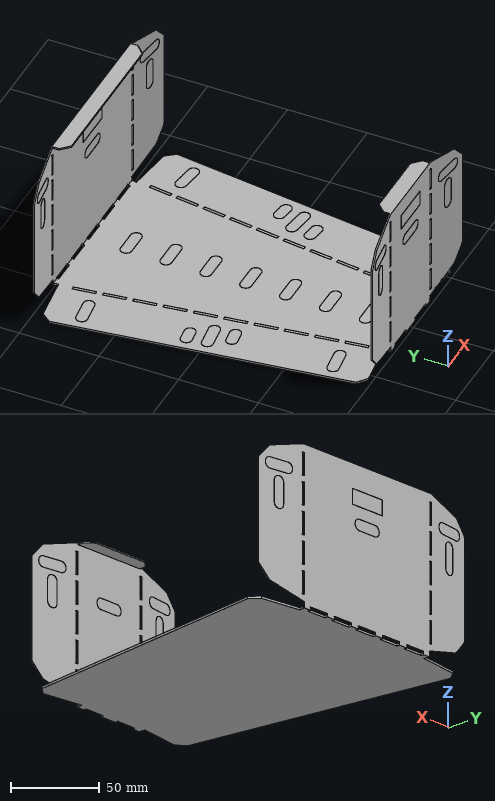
import cadquery as cq
import math

WALL_THICKNESS = 1.0
FLOOR_THICKNESS = 1.5
HEIGHT = 99.7
LENGTH = 200.3
TAPER = 7.5
MID_HALF_WIDTH = 40.0
NECK_INSET = 0.8
END_Y = LENGTH / 2

FLAP_WIDTH = 33.2
FLAP_CHAMFER = 5.5
FLAP_HALF_LENGTH = 96.9
WING_BOTTOM = 3.7
WING_TAPER_START = 25.0
WING_TAPER_RISE = 7.0
WING_CORNER_RISE = 16.0

FLANGE_DEPTH = 10.0
FLANGE_CHAMFER = 5.3

RECESS_DEPTH = 0.1
SLOT_LENGTH = 20.0
SHORT_SLOT_LENGTH = 14.0
SLOT_WIDTH = 7.0
SLOT_FROM_BEND = 18.0
FLOOR_SLOT_COUNT = 7
FLOOR_SLOT_PITCH = 25.0
FLAP_END_SLOT = 74.8
FLAP_SHORT_SLOT = 12.5
SHORT_SLOT_SHIFT = 3.3
WING_SLOT_Z = 82.1
WING_UPRIGHT_SLOT_Z = 65.7

PAD_WIDTH = 24.8
PAD_HEIGHT = 9.6
FRONT_PAD_Z = 84.0
BACK_PAD_Z = 79.3
WALL_SLOT_BELOW_PAD = 15.8
PAD_RAISE = 0.2

SLIT_LENGTH = 14.0
WALL_SLIT_WIDTH = 1.5
FLOOR_SLIT_WIDTH = 1.8
SLIT_PITCH = 18.0
FLOOR_SLIT_COUNT = 10
WING_SLIT_COUNT = 5
WING_SLIT_MID_Z = 51.5
FOOT_SLIT_SIZE = 2.0
FRONT_FOOT_SLIT_COUNT = 2
FRONT_FOOT_SLIT_PITCH = 26.5
BACK_FOOT_SLIT_COUNT = 5
BACK_FOOT_SLIT_PITCH = 20.0

SIN = math.sin(math.radians(TAPER))
COS = math.cos(math.radians(TAPER))
TAN_HALF = math.tan(math.radians(TAPER / 2))


def spread(count, pitch):
    """Evenly spaced positions centred on zero."""
    return [(i - (count - 1) / 2) * pitch for i in range(count)]


def bend_half_width(y):
    """Distance from the centreline to a side bend line at a given Y."""
    return MID_HALF_WIDTH + y * math.tan(math.radians(TAPER))


def flap_point(out, along):
    """Point on the right flap: distance out from the bend line and along it."""
    return (MID_HALF_WIDTH + out * COS + along * SIN, along * COS - out * SIN)


def mirrored(points):
    """Close a right-hand half outline with its mirror image about X = 0."""
    return points + [(-x, y) for x, y in reversed(points)]


def make_floor():
    """Flat floor with its two side flaps."""
    half = [
        (bend_half_width(-END_Y) - NECK_INSET, -END_Y),
        flap_point(-NECK_INSET, -FLAP_HALF_LENGTH),
        flap_point(FLAP_WIDTH - FLAP_CHAMFER, -FLAP_HALF_LENGTH),
        flap_point(FLAP_WIDTH, -FLAP_HALF_LENGTH + FLAP_CHAMFER),
        flap_point(FLAP_WIDTH, FLAP_HALF_LENGTH - FLAP_CHAMFER),
        flap_point(FLAP_WIDTH - FLAP_CHAMFER, FLAP_HALF_LENGTH),
        flap_point(-NECK_INSET, FLAP_HALF_LENGTH),
        (bend_half_width(END_Y) - NECK_INSET, END_Y),
    ]
    return cq.Workplane("XY").polyline(mirrored(half)).close().extrude(FLOOR_THICKNESS)


def floor_recesses():
    """Slots and bend-line slits cut into the top of the floor."""
    top = cq.Workplane("XY", origin=(0, 0, FLOOR_THICKNESS))
    slot_places = [(0, y) for y in spread(FLOOR_SLOT_COUNT, FLOOR_SLOT_PITCH)]
    middle = top.pushPoints(slot_places).slot2D(SLOT_LENGTH, SLOT_WIDTH).extrude(-RECESS_DEPTH)

    flap_slots = [
        (SLOT_FROM_BEND, -FLAP_END_SLOT, SLOT_LENGTH),
        (SLOT_FROM_BEND - SHORT_SLOT_SHIFT, -FLAP_SHORT_SLOT, SHORT_SLOT_LENGTH),
        (SLOT_FROM_BEND, 0, SLOT_LENGTH),
        (SLOT_FROM_BEND + SHORT_SLOT_SHIFT, FLAP_SHORT_SLOT, SHORT_SLOT_LENGTH),
        (SLOT_FROM_BEND, FLAP_END_SLOT, SLOT_LENGTH),
    ]
    right = cq.Workplane("XY")
    for out, along, length in flap_slots:
        place = top.pushPoints([flap_point(out, along)])
        right = right.add(place.slot2D(length, SLOT_WIDTH, -TAPER).extrude(-RECESS_DEPTH))
    for along in spread(FLOOR_SLIT_COUNT, SLIT_PITCH):
        slit = top.rect(FLOOR_SLIT_WIDTH, SLIT_LENGTH).extrude(-RECESS_DEPTH)
        slit = slit.rotate((0, 0, 0), (0, 0, 1), -TAPER)
        right = right.add(slit.translate((*flap_point(0, along), 0)))
    right = cq.Workplane(obj=right.combine().val())
    return middle.union(right).union(right.mirror("YZ"))


def wall_sheet(outer_y, inward):
    """End wall with a wing on each side; wings lean toward -Y."""
    bend = bend_half_width(outer_y)
    tip = bend + FLAP_WIDTH * COS
    tip_y = outer_y - FLAP_WIDTH * SIN
    offset = inward * WALL_THICKNESS
    inner_half = [
        (tip + offset * SIN, tip_y + offset * COS),
        (bend + offset * TAN_HALF, outer_y + offset),
    ]
    plan_points = [
        (-tip, tip_y),
        (-bend, outer_y),
        (bend, outer_y),
        (tip, tip_y),
    ] + mirrored(inner_half)
    plan = cq.Workplane("XY").polyline(plan_points).close().extrude(HEIGHT)

    taper_x = bend + WING_TAPER_START * COS
    edge_x = tip + WALL_THICKNESS
    neck = bend - NECK_INSET
    half = [
        (neck, 0),
        (neck, WING_BOTTOM),
        (taper_x, WING_BOTTOM + WING_TAPER_RISE),
        (tip, WING_BOTTOM + WING_CORNER_RISE),
        (edge_x, WING_BOTTOM + WING_CORNER_RISE),
        (edge_x, HEIGHT - WING_CORNER_RISE),
        (tip, HEIGHT - WING_CORNER_RISE),
        (taper_x, HEIGHT - WING_TAPER_RISE),
        (bend, HEIGHT),
    ]
    outline = cq.Workplane("XZ").polyline(mirrored(half)).close().extrude(LENGTH, both=True)
    return plan.intersect(outline)


def wall_flange(outer_y, inward):
    """Return flange along the top of a wall, pointing into the tray."""
    half_width = bend_half_width(outer_y) - NECK_INSET
    edge_y = outer_y + inward * FLANGE_DEPTH
    half = [
        (half_width, outer_y),
        (half_width, edge_y - inward * FLANGE_CHAMFER),
        (half_width - FLANGE_CHAMFER, edge_y),
    ]
    plane = cq.Workplane("XY", origin=(0, 0, HEIGHT))
    return plane.polyline(mirrored(half)).close().extrude(-WALL_THICKNESS)


def wall_slits(outer_y, foot_count, foot_pitch):
    """Through slits along the two wing bends and along the foot of a wall."""
    bend = bend_half_width(outer_y)
    slits = cq.Workplane("XY")
    for side in (-1, 1):
        for z in spread(WING_SLIT_COUNT, SLIT_PITCH):
            slit = cq.Workplane("XY").box(WALL_SLIT_WIDTH, 4 * WALL_THICKNESS, SLIT_LENGTH)
            slits = slits.add(slit.translate((side * bend, outer_y, WING_SLIT_MID_Z + z)))
    for x in spread(foot_count, foot_pitch):
        slit = cq.Workplane("XY").box(SLIT_LENGTH, 2 * FOOT_SLIT_SIZE, 2 * FOOT_SLIT_SIZE)
        slits = slits.add(slit.translate((x, outer_y, 0)))
    return slits.combine()


def slot_cutter(x, y, z, length, angle=0):
    """Shallow slot-shaped cutter reaching from the given Y toward +Y."""
    face = cq.Workplane("XZ", origin=(0, y, 0)).center(x, z)
    return face.slot2D(length, SLOT_WIDTH, angle).extrude(-RECESS_DEPTH)


def wall_recesses(outer_y, inward, pad_z):
    """Slots cut into both faces of a wall and its wings, and the pad cut into the -Y face."""
    bend = bend_half_width(outer_y)
    wing_x = bend + SLOT_FROM_BEND
    near_y = min(outer_y, outer_y + inward * WALL_THICKNESS)
    far_y = near_y + WALL_THICKNESS - RECESS_DEPTH

    pad_face = cq.Workplane("XZ", origin=(0, near_y, 0)).center(0, pad_z)
    cutters = pad_face.rect(PAD_WIDTH, PAD_HEIGHT).extrude(-RECESS_DEPTH)
    for y in (near_y, far_y):
        cutters = cutters.union(slot_cutter(0, y, pad_z - WALL_SLOT_BELOW_PAD, SLOT_LENGTH))
        level = slot_cutter(wing_x, y, WING_SLOT_Z, SLOT_LENGTH)
        upright = slot_cutter(wing_x, y, WING_UPRIGHT_SLOT_Z, SLOT_LENGTH, 90)
        wing = level.union(upright).rotate((bend, outer_y, 0), (bend, outer_y, 1), -TAPER)
        cutters = cutters.union(wing).union(wing.mirror("YZ"))
    return cutters


def back_pad():
    """Label pad standing proud of the outer face of the back wall."""
    face = cq.Workplane("XZ", origin=(0, END_Y, 0)).center(0, BACK_PAD_Z)
    return face.rect(PAD_WIDTH, PAD_HEIGHT).extrude(-PAD_RAISE)


def add_wall(tray, outer_y, inward, pad_z, foot_count, foot_pitch):
    """Join a wall and its flange to the tray and cut its slits and recesses."""
    tray = tray.union(wall_sheet(outer_y, inward)).union(wall_flange(outer_y, inward))
    tray = tray.cut(wall_slits(outer_y, foot_count, foot_pitch))
    return tray.cut(wall_recesses(outer_y, inward, pad_z))


tray = make_floor().cut(floor_recesses())
tray = add_wall(tray, -END_Y, 1, FRONT_PAD_Z, FRONT_FOOT_SLIT_COUNT, FRONT_FOOT_SLIT_PITCH)
tray = add_wall(tray, END_Y, -1, BACK_PAD_Z, BACK_FOOT_SLIT_COUNT, BACK_FOOT_SLIT_PITCH)
result = tray.union(back_pad())